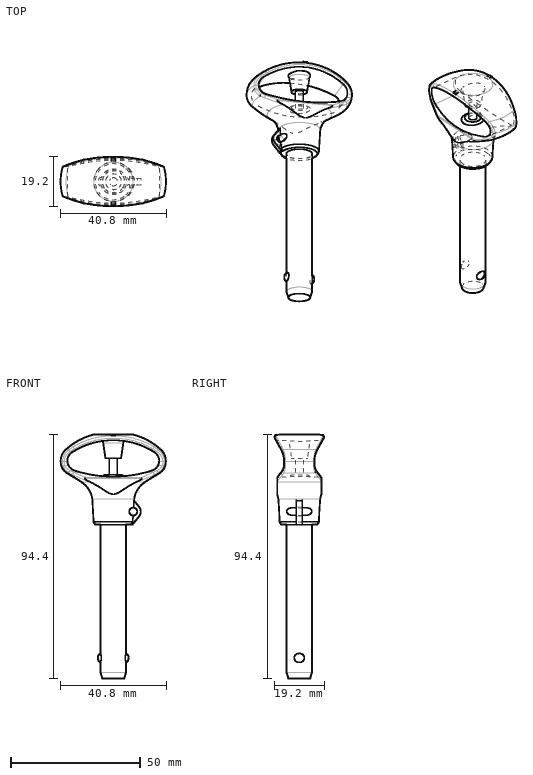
import cadquery as cq
import math


shank_radius = 5.0
shank_length = 59.55
tip_radius = 4.25
tip_height = 2.5
ball_radius = 2.05
ball_offset = 3.95
ball_height = 8.0

collar_bottom_radius = 7.0
collar_chamfer_radius = 7.65
collar_chamfer_height = 1.05
collar_top_radius = 8.15
collar_top_z = 9.95

handle_top_z = 34.85
top_flat_radius = 7.6
dome_mid_radius, dome_mid_z = 13.32, 32.59
shoulder_radius, shoulder_z = 18.35, 29.05
handle_radius = 20.42
handle_widest_z = 24.4
underside_radius, underside_z = 18.25, 20.1
flare_outer_radius, flare_outer_z = 12.4, 16.45

brow_half, brow_z = 10.64, 35.5
brow_start_half, brow_start_z = 7.25, 29.35
waist_half = 5.9
waist_top_z, waist_bottom_z = 24.4, 23.0
ledge_start_half, ledge_start_z = 6.95, 20.25
flank_half, flank_top_z = 8.6, 18.15
rim_fillet = 0.65

opening_half_length = 17.7
opening_widest_z = 24.8
opening_roof_z = 32.58
roof_end_half, roof_end_z = 15.7, 28.05
floor_end_half, floor_end_z = 14.9, 20.9
floor_mid_z = 18.5

button_tip_radius = 3.05
button_tip_z = 25.6
button_root_radius = 3.95
button_root_z = 31.55
button_flare = 0.95
rod_radius = 1.6
bushing_top_radius = 3.1
bushing_top_z = 19.3
bushing_base_radius = 4.6
bushing_base_z = 18.45

pad_width = 1.5
pad_outer_y = 9.2
pad_drop = 0.1

eye_x, eye_z = 7.72, 5.0
eye_radius = 1.5
tab_radius = 2.95
tab_thickness = 2.5
tab_tangent_angle = math.radians(39)

embed = 1.0
selection_margin = 0.1
cut_margin = 30.0


def make_shank():
    """Shank with a tapered tip and two locking balls."""
    tip_z = -shank_length
    shank = (
        cq.Workplane("XZ")
        .moveTo(0, tip_z)
        .lineTo(tip_radius, tip_z)
        .lineTo(shank_radius, tip_z + tip_height)
        .lineTo(shank_radius, embed)
        .lineTo(0, embed)
        .close()
        .revolve(360, (0, 0, 0), (0, 1, 0))
    )
    for side in (-1, 1):
        ball = cq.Workplane("XY").sphere(ball_radius)
        shank = shank.union(ball.translate((side * ball_offset, 0, tip_z + ball_height)))
    return shank


def make_handle_blank():
    """Dome, flare and collar in one turned body."""
    return (
        cq.Workplane("XZ")
        .moveTo(0, handle_top_z)
        .lineTo(top_flat_radius, handle_top_z)
        .threePointArc((dome_mid_radius, dome_mid_z), (shoulder_radius, shoulder_z))
        .tangentArcPoint((handle_radius, handle_widest_z), relative=False)
        .tangentArcPoint((underside_radius, underside_z), relative=False)
        .lineTo(flare_outer_radius, flare_outer_z)
        .tangentArcPoint((collar_top_radius, collar_top_z), relative=False)
        .lineTo(collar_chamfer_radius, collar_chamfer_height)
        .lineTo(collar_bottom_radius, 0)
        .lineTo(0, 0)
        .close()
        .revolve(360, (0, 0, 0), (0, 1, 0))
        .rotate((0, 0, 0), (0, 0, 1), 180)
    )


def make_side_cutter():
    """Material removed on the +Y side to leave the waisted face and the flat flank."""
    return (
        cq.Workplane("YZ")
        .moveTo(cut_margin, 0)
        .lineTo(flank_half, 0)
        .lineTo(flank_half, flank_top_z)
        .lineTo(ledge_start_half, ledge_start_z)
        .tangentArcPoint((waist_half, waist_bottom_z), relative=False)
        .lineTo(waist_half, waist_top_z)
        .tangentArcPoint((brow_start_half, brow_start_z), relative=False)
        .lineTo(brow_half, brow_z)
        .lineTo(cut_margin, brow_z)
        .close()
        .extrude(cut_margin, both=True)
    )


def make_opening():
    """Finger opening through the handle along Y."""
    return (
        cq.Workplane("XZ")
        .moveTo(-floor_end_half, floor_end_z)
        .threePointArc((0, floor_mid_z), (floor_end_half, floor_end_z))
        .threePointArc((opening_half_length, opening_widest_z), (roof_end_half, roof_end_z))
        .threePointArc((0, opening_roof_z), (-roof_end_half, roof_end_z))
        .threePointArc((-opening_half_length, opening_widest_z), (-floor_end_half, floor_end_z))
        .close()
        .extrude(cut_margin, both=True)
    )


def make_handle():
    """Turned blank with both sides waisted, their rims rounded, and the finger opening."""
    cutter = make_side_cutter()
    blank = make_handle_blank().cut(cutter).cut(cutter.mirror("XZ"))
    rim_bottom = flank_top_z - selection_margin
    rim_top = handle_top_z - selection_margin
    ledge_top = flank_top_z + selection_margin
    for side in (-1, 1):
        near_y = side * (waist_half - selection_margin)
        far_y = side * cut_margin
        rim_zone = cq.selectors.BoxSelector(
            (-cut_margin, near_y, rim_bottom), (cut_margin, far_y, rim_top)
        )
        ledge_zone = cq.selectors.BoxSelector(
            (-cut_margin, near_y, rim_bottom), (cut_margin, far_y, ledge_top)
        )
        rim = blank.edges(rim_zone).edges("not |X")
        ledge = blank.edges(ledge_zone).edges("|X")
        blank = rim.add(ledge).fillet(rim_fillet)
    return blank.cut(make_opening())


def make_button():
    """Tapered release button hanging from the roof, flared where it meets the roof."""
    flare_radius = button_root_radius + button_flare
    flare_z = button_root_z + button_flare
    flare_mid = button_flare * (1 - math.sqrt(0.5))
    return (
        cq.Workplane("XZ")
        .moveTo(0, button_tip_z)
        .lineTo(button_tip_radius, button_tip_z)
        .lineTo(button_root_radius, button_root_z)
        .threePointArc(
            (button_root_radius + flare_mid, flare_z - flare_mid),
            (flare_radius, flare_z),
        )
        .lineTo(flare_radius, flare_z + embed)
        .lineTo(0, flare_z + embed)
        .close()
        .revolve(360, (0, 0, 0), (0, 1, 0))
    )


def make_rod():
    """Rod from the button down to its conical bushing on the opening floor."""
    return (
        cq.Workplane("XZ")
        .moveTo(0, bushing_base_z - embed)
        .lineTo(bushing_base_radius, bushing_base_z - embed)
        .lineTo(bushing_base_radius, bushing_base_z)
        .lineTo(bushing_top_radius, bushing_top_z)
        .lineTo(rod_radius, bushing_top_z)
        .lineTo(rod_radius, button_tip_z + embed)
        .lineTo(0, button_tip_z + embed)
        .close()
        .revolve(360, (0, 0, 0), (0, 1, 0))
    )


def make_dome_pads():
    """One bar just below the top; only its two ends emerge from the dome."""
    return (
        cq.Workplane("XY", origin=(0, 0, handle_top_z - pad_drop - embed))
        .rect(pad_width, 2 * pad_outer_y)
        .extrude(embed)
    )


def make_tab():
    """Lanyard tab: a rounded nose with straight sides running into the collar."""
    nose_x = eye_x + tab_radius * math.cos(tab_tangent_angle)
    nose_rise = tab_radius * math.sin(tab_tangent_angle)
    side_slope = 1 / math.tan(tab_tangent_angle)
    top_root_z = eye_z + nose_rise + (nose_x - collar_bottom_radius) * side_slope
    bottom_x = nose_x - (eye_z - nose_rise) / side_slope
    return (
        cq.Workplane("XZ", origin=(0, tab_thickness / 2, 0))
        .moveTo(0, 0)
        .lineTo(bottom_x, 0)
        .lineTo(nose_x, eye_z - nose_rise)
        .threePointArc((eye_x + tab_radius, eye_z), (nose_x, eye_z + nose_rise))
        .lineTo(collar_bottom_radius, top_root_z)
        .lineTo(0, top_root_z)
        .close()
        .extrude(tab_thickness)
    )


def make_eye():
    """Hole along Y through the tab and the edge of the collar."""
    return (
        cq.Workplane("XZ")
        .center(eye_x, eye_z)
        .circle(eye_radius)
        .extrude(cut_margin, both=True)
    )


result = (
    make_handle()
    .union(make_shank())
    .union(make_button())
    .union(make_rod())
    .union(make_dome_pads())
    .union(make_tab())
    .cut(make_eye())
)